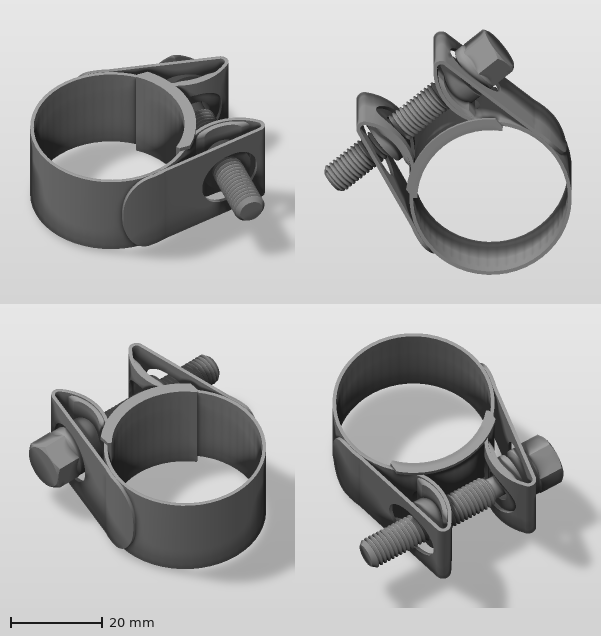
import cadquery as cq
import math

band_width = 20.0
strip = 0.8
ring_inner = 17.0
ring_outer = ring_inner + strip
fold_gap = 0.05
tab_inner = ring_outer + fold_gap
tab_outer = tab_inner + strip
tab_end_y = -4.2
tab_round_y = 1.9
tab_flat = 2.0
leg_start_y = 6.1
band_top_y = 31.77
tip_outer = 1.77
tip_inner = tip_outer - strip
loop_near_x = 6.4
slot_length = 14.0
slot_width = 12.9
slot_y = 22.3

bolt_y = 22.7
head_end_x = -21.6
bolt_end_x = 26.4
hex_flats = 10.1
hex_chamfer_radius = 4.9
hex_chamfer_length = 0.6
flare_length = 0.7
collar_start_x = -15.55
collar_end_x = -13.45
collar_radius = 5.65
seat_end_x = -11.55
neck_radius = 2.4
thread_start_x = -5.8
thread_radius = 3.5
thread_pitch = 1.0
thread_depth = 0.6
thread_start_angle = -80.0
blank_overhang = 5.0
groove_overcut = 0.05
groove_runout = 0.2
point_length = 1.0
point_radius = 2.6

saddle_front_x = 7.22
saddle_back_x = 9.22
saddle_thickness = 1.0
saddle_half_chord = 6.3
saddle_height = 19.4
saddle_edge_round = 1.0
boss_end_x = 11.73
boss_radius = 5.55

bridge_inner = 16.1
bridge_outer = 18.65
bridge_height = 22.0
bridge_half_length = 12.77
bridge_half_angle = 49.0


def polar(center, radius, angle):
    """Point at an angle in degrees, measured from +X."""
    a = math.radians(angle)
    return (center[0] + radius * math.cos(a), center[1] + radius * math.sin(a))


def bearing(start, end):
    """Direction from one point to another, in degrees."""
    return math.degrees(math.atan2(end[1] - start[1], end[0] - start[0]))


def curved_strip(center, inner, outer, start, end, height):
    """Arc-shaped strip between two angles, centred on the XY plane."""
    middle = (start + end) / 2
    return (
        cq.Workplane("XY")
        .moveTo(*polar(center, inner, start))
        .threePointArc(polar(center, inner, middle), polar(center, inner, end))
        .lineTo(*polar(center, outer, end))
        .threePointArc(polar(center, outer, middle), polar(center, outer, start))
        .close()
        .extrude(height / 2, both=True)
    )


def make_band():
    origin = (0.0, 0.0)

    loop_outer = (bolt_y**2 + loop_near_x**2 - ring_inner**2) / (2 * (ring_inner - loop_near_x))
    loop_inner = loop_outer - strip
    loop_center = (-loop_near_x - loop_outer, bolt_y)

    tip_y = band_top_y - tip_outer
    tip_x = loop_center[0] + math.sqrt((loop_outer - tip_outer) ** 2 - (tip_y - bolt_y) ** 2)
    tip_center = (tip_x, tip_y)

    leg_angle = 180 - math.degrees(math.asin(leg_start_y / tab_outer))
    leg_start = polar(origin, tab_outer, leg_angle)
    leg_run = math.dist(leg_start, tip_center)
    leg_direction = bearing(leg_start, tip_center) + math.degrees(math.asin(tip_outer / leg_run))
    tip_start = leg_direction + 90

    ring_end = bearing(origin, loop_center)
    loop_start = bearing(loop_center, origin)
    loop_end = bearing(loop_center, tip_center)

    outer_leg = (
        cq.Workplane("XY")
        .polyline([
            leg_start,
            polar(tip_center, tip_outer, tip_start),
            polar(tip_center, tip_inner, tip_start),
            polar(origin, tab_inner, leg_angle),
        ])
        .close()
        .extrude(band_width / 2, both=True)
    )
    tab_end = 180 - math.degrees(math.asin(tab_end_y / tab_inner))
    tab = curved_strip(origin, tab_inner, tab_outer, leg_angle, tab_end, band_width)
    tab = tab.intersect(make_tab_outline())

    tip = curved_strip(tip_center, tip_inner, tip_outer, loop_end, tip_start, band_width)
    inner_leg = curved_strip(loop_center, loop_inner, loop_outer, loop_start, loop_end, band_width)

    loop = tab.union(outer_leg).union(tip).union(inner_leg)
    loop = loop.cut(make_leg_slot())

    ring = curved_strip(origin, ring_inner, ring_outer, ring_end, 540 - ring_end, band_width)
    return ring.union(loop).union(loop.mirror("YZ")).clean()


def make_tab_outline():
    """Block along -X with the tab's outline: elliptical corners and a short flat end."""
    corner_length = tab_round_y - tab_end_y
    corner_width = (band_width - tab_flat) / 2
    half_width = band_width / 2
    return (
        cq.Workplane("ZY")
        .moveTo(-half_width, band_top_y)
        .lineTo(-half_width, tab_round_y)
        .ellipseArc(corner_width, corner_length, 180, 270)
        .lineTo(tab_flat / 2, tab_end_y)
        .ellipseArc(corner_width, corner_length, 270, 360)
        .lineTo(half_width, band_top_y)
        .close()
        .extrude(2 * tab_outer)
    )


def make_leg_slot():
    """Slot along -X through both legs of a loop."""
    return (
        cq.Workplane("YZ")
        .center(slot_y, 0)
        .slot2D(slot_length, slot_width)
        .extrude(-2 * tab_outer)
    )


def make_bolt():
    neck = (
        cq.Workplane("XY")
        .polyline([
            (collar_start_x - flare_length, 0),
            (collar_start_x - flare_length, collar_radius - flare_length),
            (collar_start_x, collar_radius),
            (collar_end_x, collar_radius),
            (seat_end_x, neck_radius),
            (thread_start_x, neck_radius),
            (thread_start_x, 0),
        ])
        .close()
        .revolve(360, (0, 0), (1, 0))
    )
    bolt = make_hex_head().union(neck).union(make_threaded_rod())
    return bolt.translate((0, bolt_y, 0))


def make_hex_head():
    hex_length = collar_start_x - head_end_x
    corner_diameter = 2 * hex_flats / math.sqrt(3)
    hexagon = (
        cq.Workplane("YZ")
        .workplane(offset=head_end_x)
        .polygon(6, corner_diameter)
        .extrude(hex_length)
        .rotate((0, 0, 0), (1, 0, 0), 90)
    )
    corner_rise = corner_diameter / 2 - hex_chamfer_radius
    envelope = (
        cq.Workplane("YZ")
        .workplane(offset=head_end_x)
        .circle(corner_diameter / 2)
        .extrude(hex_length)
        .faces("<X")
        .chamfer(hex_chamfer_length, corner_rise)
    )
    return hexagon.intersect(envelope)


def make_threaded_rod():
    """Threaded length of the bolt, tapered at both ends."""
    blank = (
        cq.Workplane("YZ")
        .workplane(offset=thread_start_x - blank_overhang)
        .circle(thread_radius)
        .extrude(bolt_end_x - thread_start_x + 2 * blank_overhang)
    )
    clear_radius = 1.2 * thread_radius
    point_slope = point_length / (thread_radius - point_radius)
    tapered_ends = (
        cq.Workplane("XY")
        .polyline([
            (thread_start_x, 0),
            (thread_start_x, neck_radius),
            (thread_start_x + clear_radius - neck_radius, clear_radius),
            (bolt_end_x - point_slope * (clear_radius - point_radius), clear_radius),
            (bolt_end_x, point_radius),
            (bolt_end_x, 0),
        ])
        .close()
        .revolve(360, (0, 0), (1, 0))
    )
    threaded = blank.cut(make_thread_groove(), clean=False)
    return threaded.intersect(tapered_ends, clean=False)


def make_thread_groove():
    """Helical V groove from before the thread start to just inside the tapered point."""
    flat_half = thread_pitch / 16
    root_radius = thread_radius - thread_depth
    flank_slope = (thread_pitch / 2 - 2 * flat_half) / thread_depth
    mouth_radius = thread_radius + groove_overcut
    mouth_half = flat_half + flank_slope * (mouth_radius - root_radius)
    groove_start_x = thread_start_x - thread_pitch
    groove_length = bolt_end_x - point_length + groove_runout - groove_start_x

    helix = cq.Wire.makeHelix(thread_pitch, groove_length, thread_radius)
    groove = (
        cq.Workplane("XZ")
        .polyline([
            (root_radius, -flat_half),
            (mouth_radius, -mouth_half),
            (mouth_radius, mouth_half),
            (root_radius, flat_half),
        ])
        .close()
        .sweep(cq.Workplane(obj=helix), isFrenet=True)
    )
    along_bolt = groove.rotate((0, 0, 0), (0, 1, 0), 90).translate((groove_start_x, 0, 0))
    return along_bolt.rotate((0, 0, 0), (1, 0, 0), thread_start_angle)


def make_saddle():
    """Saddle of the loop on the bolt head side."""
    bow_rise = saddle_back_x - saddle_front_x
    bow_radius = (saddle_half_chord**2 + bow_rise**2) / (2 * bow_rise)
    bow_center_x = -saddle_front_x - bow_radius

    plate = (
        cq.Workplane("XY")
        .moveTo(-saddle_back_x, -saddle_half_chord)
        .threePointArc((-saddle_front_x, 0), (-saddle_back_x, saddle_half_chord))
        .close()
        .extrude(saddle_height / 2, both=True)
        .faces("<X")
        .edges("|Y")
        .fillet(saddle_edge_round)
    )
    hollow = (
        cq.Workplane("XY")
        .center(bow_center_x, 0)
        .circle(bow_radius - saddle_thickness)
        .extrude(saddle_height / 2, both=True)
    )
    bow = (
        cq.Workplane("XY")
        .center(bow_center_x, 0)
        .circle(bow_radius)
        .extrude(saddle_height / 2, both=True)
    )
    boss = (
        cq.Workplane("YZ")
        .workplane(offset=-boss_end_x)
        .circle(boss_radius)
        .extrude(boss_end_x - saddle_front_x)
        .intersect(bow)
    )
    bore = cq.Workplane("YZ").circle(thread_radius).extrude(-boss_end_x)
    return plate.cut(hollow).union(boss).cut(bore).translate((0, bolt_y, 0))


def make_bridge():
    origin = (0.0, 0.0)
    start = 90 - bridge_half_angle
    end = 90 + bridge_half_angle
    plate = curved_strip(origin, bridge_inner, ring_inner, start, end, bridge_height)
    flanges = curved_strip(origin, ring_inner, bridge_outer, start, end, bridge_height)
    trim = cq.Workplane("XY").box(2 * bridge_half_length, 4 * bridge_outer, bridge_height)
    strip_space = cq.Workplane("XY").box(4 * bridge_outer, 4 * bridge_outer, band_width)
    return plate.union(flanges.intersect(trim).cut(strip_space))


band = make_band()
bolt = make_bolt()
bridge = make_bridge()
head_saddle = make_saddle()
nut_saddle = head_saddle.mirror("YZ")

result = cq.Compound.makeCompound([
    band.val(),
    bolt.val(),
    bridge.val(),
    head_saddle.val(),
    nut_saddle.val(),
])